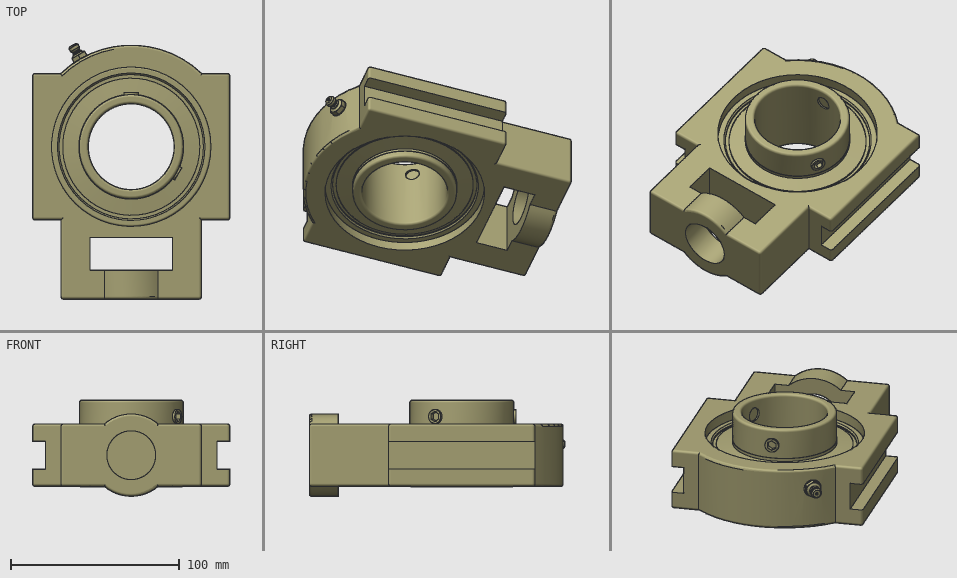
import cadquery as cq
import math


WING_WIDTH = 117.0
WING_LENGTH = 86.8
STEM_WIDTH = 83.3
FRONT_Y = -90.4
HOUSING_HEIGHT = 37.0
BORE_DIAMETER = 94.5
HOUSING_TOP = HOUSING_HEIGHT / 2
DOME_RADIUS = 60.2
DOME_LIMIT_WIDTH = 91.0
EDGE_RADIUS = 1.5
SLOT_DEPTH = 7.6
SLOT_HEIGHT = 16.4
BOSS_RADIUS = 24.4
BOSS_LENGTH = 17.3
BOSS_HOLE_DIAMETER = 29.0
WINDOW_WIDTH = 2 * BOSS_RADIUS
WINDOW_LENGTH = 19.3

BEARING_DIAMETER = 97.4
OUTER_RING_WIDTH = 25.2
OUTER_RING_TOP = OUTER_RING_WIDTH / 2
OUTER_RING_BORE = 85.5
OUTER_RING_CHAMFER = 0.9
OUTER_RING_FILLET = 0.9
INNER_RING_BORE = 50.8
INNER_RING_DIAMETER = 61.7
INNER_RING_SHOULDER = 62.2
INNER_RING_TOP = 32.6
INNER_RING_BOTTOM = -19.0
INNER_RING_FILLET = 1.5
SHOULDER_TOP = 14.5

SEAL_DISC_DIAMETER = 81.3
SEAL_THICKNESS = 1.5
SEAL_STEP = 0.9
SEAL_CONE_RISE = 0.9
SEAL_RIM_DROP = 1.7
SEAL_RIM_TOP = OUTER_RING_TOP - SEAL_RIM_DROP

SCREW_DIAMETER = 8.3
SCREW_Z = 22.9
SCREW_ANGLES = (90, -30)
SCREW_INNER_END = 26.4
SCREW_OUTER_END = 32.2
SOCKET_CORNERS = 6.0
SOCKET_DEPTH = 3.0

NIPPLE_ANGLE = 120
NIPPLE_Z = 6.5
SPOT_FACE_DIAMETER = 10.3
SPOT_FACE_DISTANCE = 59.8
THREAD_DIAMETER = 6.0
THREAD_LENGTH = 6.0
HEX_FLATS = 8.8
HEX_CORNERS = HEX_FLATS / math.cos(math.pi / 6)
HEX_LENGTH = 3.0
COLLAR_DIAMETER = 5.8
COLLAR_BOTTOM = 4.1
COLLAR_TOP = 4.5
NECK_DIAMETER = 4.5
NECK_BOTTOM = 5.2
NECK_TOP = 5.8
HEAD_DIAMETER = 6.0
HEAD_BOTTOM = 7.0
HEAD_TOP = 8.8
TIP_DIAMETER = 4.5
NIPPLE_HEIGHT = 9.7
GREASE_HOLE_DIAMETER = 1.5
GREASE_HOLE_DEPTH = 1.5


def radial_plane(angle, distance, height):
    """Plane facing outward from the bearing axis, with its local x along +Z."""
    turn = math.radians(angle)
    outward = (math.cos(turn), math.sin(turn), 0)
    origin = (distance * outward[0], distance * outward[1], height)
    return cq.Plane(origin=origin, xDir=(0, 0, 1), normal=outward)


def rounded_block(width, y_min, y_max):
    """Block as thick as the housing, centred on X = 0, with all its edges rounded."""
    block = cq.Workplane("XY").box(width, y_max - y_min, HOUSING_HEIGHT)
    return block.edges().fillet(EDGE_RADIUS).translate((0, (y_min + y_max) / 2, 0))


def make_dome():
    disc = cq.Workplane("XY").circle(DOME_RADIUS).extrude(HOUSING_TOP, both=True)
    disc = disc.edges().fillet(EDGE_RADIUS)
    keep = cq.Workplane("XY").box(DOME_LIMIT_WIDTH, 2 * DOME_RADIUS, HOUSING_HEIGHT)
    return disc.intersect(keep.translate((0, DOME_RADIUS, 0)))


def make_boss():
    front = cq.Workplane("XZ", origin=(0, FRONT_Y, 0))
    boss = front.circle(BOSS_RADIUS).extrude(-BOSS_LENGTH)
    return boss.faces("<Y").edges().fillet(EDGE_RADIUS)


def make_housing():
    body = rounded_block(WING_WIDTH, -WING_LENGTH / 2, WING_LENGTH / 2)
    body = body.union(rounded_block(STEM_WIDTH, FRONT_Y, 0)).union(make_dome()).union(make_boss())

    window_y = FRONT_Y + BOSS_LENGTH + WINDOW_LENGTH / 2
    window = cq.Workplane("XY").box(WINDOW_WIDTH, WINDOW_LENGTH, 2 * BOSS_RADIUS)
    body = body.cut(window.translate((0, window_y, 0)))

    boss_hole = cq.Workplane("XZ", origin=(0, FRONT_Y, 0)).circle(BOSS_HOLE_DIAMETER / 2)
    body = body.cut(boss_hole.extrude(-BOSS_LENGTH))

    slot = cq.Workplane("XY").box(2 * SLOT_DEPTH, 2 * WING_LENGTH, SLOT_HEIGHT)
    for side in (-1, 1):
        body = body.cut(slot.translate((side * WING_WIDTH / 2, 0, 0)))

    bore = cq.Workplane("XY").circle(BORE_DIAMETER / 2).extrude(HOUSING_TOP, both=True)
    spherical_seat = cq.Workplane("XY").sphere(BEARING_DIAMETER / 2)
    body = body.cut(bore).cut(spherical_seat)

    spot_face = cq.Workplane(radial_plane(NIPPLE_ANGLE, SPOT_FACE_DISTANCE, NIPPLE_Z))
    body = body.cut(spot_face.circle(SPOT_FACE_DIAMETER / 2).extrude(EDGE_RADIUS))
    return body.cut(spot_face.circle(THREAD_DIAMETER / 2).extrude(-THREAD_LENGTH))


def make_outer_ring():
    """Slice of a sphere, so the bearing can tilt in its seat, with a round bore."""
    slab = cq.Workplane("XY").box(BEARING_DIAMETER, BEARING_DIAMETER, OUTER_RING_WIDTH)
    ring = cq.Workplane("XY").sphere(BEARING_DIAMETER / 2).intersect(slab)
    ring = ring.faces("<Z or >Z").edges().fillet(OUTER_RING_FILLET)
    ring = ring.cut(cq.Workplane("XY").circle(OUTER_RING_BORE / 2).extrude(OUTER_RING_TOP, both=True))
    smallest = cq.selectors.RadiusNthSelector(0)
    return ring.faces("<Z or >Z").edges(smallest).chamfer(OUTER_RING_CHAMFER)


def make_inner_ring():
    height = INNER_RING_TOP - INNER_RING_BOTTOM
    base = cq.Workplane("XY", origin=(0, 0, INNER_RING_BOTTOM))
    ring = base.circle(INNER_RING_DIAMETER / 2).circle(INNER_RING_BORE / 2).extrude(height)
    ring = ring.faces("<Z or >Z").edges().fillet(INNER_RING_FILLET)
    shoulder = cq.Workplane("XY").circle(INNER_RING_SHOULDER / 2).circle(INNER_RING_BORE / 2)
    ring = ring.union(shoulder.extrude(SHOULDER_TOP, both=True))
    for angle in SCREW_ANGLES:
        hole = cq.Workplane(radial_plane(angle, 0, SCREW_Z)).circle(SCREW_DIAMETER / 2)
        ring = ring.cut(hole.extrude(INNER_RING_DIAMETER))
    return ring


def make_seal(side):
    """Ring-shaped seal at the top (side 1) or bottom (side -1) of the bearing."""
    inner = INNER_RING_SHOULDER / 2
    step = SEAL_DISC_DIAMETER / 2
    outer = OUTER_RING_BORE / 2
    bottom = SEAL_RIM_TOP - SEAL_THICKNESS
    disc_top = SEAL_RIM_TOP + SEAL_STEP
    profile = [
        (inner, bottom),
        (outer, bottom),
        (outer, SEAL_RIM_TOP),
        (step, SEAL_RIM_TOP),
        (step, disc_top),
        (inner, disc_top + SEAL_CONE_RISE),
    ]
    points = [(radius, side * height) for radius, height in profile]
    return cq.Workplane("XZ").polyline(points).close().revolve(360, (0, 0, 0), (0, 1, 0))


def make_set_screw(angle):
    inner_end = cq.Workplane(radial_plane(angle, SCREW_INNER_END, SCREW_Z))
    screw = inner_end.circle(SCREW_DIAMETER / 2).extrude(SCREW_OUTER_END - SCREW_INNER_END)
    outer_end = cq.Workplane(radial_plane(angle, SCREW_OUTER_END, SCREW_Z))
    return screw.cut(outer_end.polygon(6, SOCKET_CORNERS).extrude(-SOCKET_DEPTH))


def make_grease_nipple():
    seat = radial_plane(NIPPLE_ANGLE, SPOT_FACE_DISTANCE, NIPPLE_Z)
    nipple = cq.Workplane(seat).polygon(6, HEX_CORNERS).extrude(HEX_LENGTH)
    nipple = nipple.union(cq.Workplane(seat).circle(THREAD_DIAMETER / 2).extrude(-THREAD_LENGTH))

    outline = [
        (HEX_FLATS, HEX_LENGTH),
        (COLLAR_DIAMETER, COLLAR_BOTTOM),
        (COLLAR_DIAMETER, COLLAR_TOP),
        (NECK_DIAMETER, NECK_BOTTOM),
        (NECK_DIAMETER, NECK_TOP),
        (HEAD_DIAMETER, HEAD_BOTTOM),
        (HEAD_DIAMETER, HEAD_TOP),
        (TIP_DIAMETER, NIPPLE_HEIGHT),
    ]
    points = [(NIPPLE_HEIGHT, 0), (HEX_LENGTH, 0)]
    points += [(height, diameter / 2) for diameter, height in outline]
    profile_plane = cq.Plane(origin=seat.origin, xDir=seat.zDir, normal=seat.yDir)
    end = cq.Workplane(profile_plane).polyline(points).close().revolve(360, (0, 0, 0), (1, 0, 0))
    nipple = nipple.union(end)

    tip_plane = radial_plane(NIPPLE_ANGLE, SPOT_FACE_DISTANCE + NIPPLE_HEIGHT, NIPPLE_Z)
    grease_hole = cq.Workplane(tip_plane).circle(GREASE_HOLE_DIAMETER / 2)
    return nipple.cut(grease_hole.extrude(-GREASE_HOLE_DEPTH))


housing = make_housing()
outer_ring = make_outer_ring()
inner_ring = make_inner_ring()
seals = [make_seal(side) for side in (1, -1)]
set_screws = [make_set_screw(angle) for angle in SCREW_ANGLES]
grease_nipple = make_grease_nipple()

result = cq.Compound.makeCompound([
    housing.val(),
    outer_ring.val(),
    inner_ring.val(),
    *[seal.val() for seal in seals],
    *[screw.val() for screw in set_screws],
    grease_nipple.val(),
])